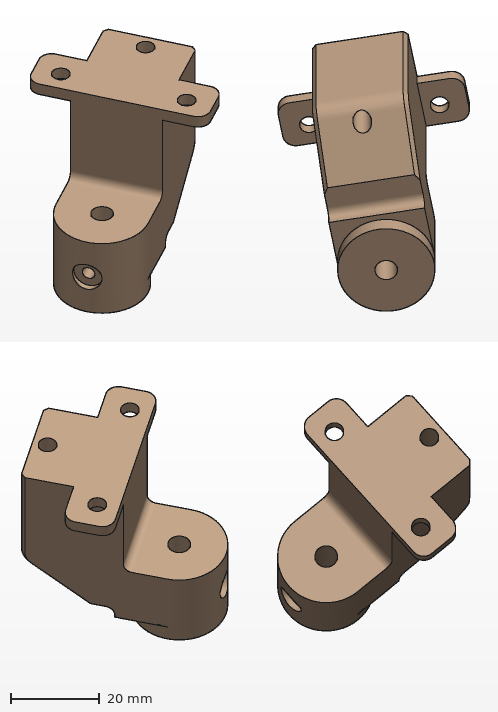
import cadquery as cq
import math


body_width = 22.0
total_height = 45.0
back_y = 34.22
column_depth = 24.0
column_front_y = back_y - column_depth
ledge_z = 20.0
inner_corner_radius = 2.0
back_corner_radius = 5.0
back_edge_chamfer = 1.0

arm_bottom_z = 4.0
arm_back_y = 12.3
step_z = 7.0
step_fillet_radius = 2.0
slope_bottom_y = 19.6
slope_angle = 35.5

barrel_radius = body_width / 2
bore_diameter = 5.1
screw_z = ledge_z / 2
screw_hole_diameter = 3.0
screw_seat_diameter = 7.0
screw_seat_depth = 1.5

flange_length = 42.8
flange_width = 11.6
flange_thickness = 3.0
flange_corner_radius = 3.0
mount_hole_diameter = 4.2
side_hole_x = 15.0
side_hole_y = 15.3
back_hole_y = 30.7


def make_body():
    """Side profile extruded across X, with rounded bends and chamfered back edges."""
    slope_top_z = step_z + (back_y - slope_bottom_y) * math.tan(math.radians(slope_angle))
    body = (
        cq.Workplane("YZ")
        .moveTo(0, arm_bottom_z)
        .lineTo(arm_back_y, arm_bottom_z)
        .lineTo(arm_back_y, step_z)
        .lineTo(slope_bottom_y, step_z)
        .lineTo(back_y, slope_top_z)
        .lineTo(back_y, total_height)
        .lineTo(column_front_y, total_height)
        .lineTo(column_front_y, ledge_z)
        .lineTo(0, ledge_z)
        .close()
        .extrude(body_width / 2, both=True)
    )
    bends = [
        (arm_back_y, step_z, step_fillet_radius),
        (back_y, slope_top_z, back_corner_radius),
        (column_front_y, ledge_z, inner_corner_radius),
    ]
    for y, z, radius in bends:
        bend_edge = cq.selectors.NearestToPointSelector((0, y, z))
        body = body.edges("|X").edges(bend_edge).fillet(radius)
    for side in (-1, 1):
        back_edge = cq.selectors.NearestToPointSelector(
            (side * body_width / 2, back_y, (total_height + ledge_z) / 2)
        )
        back_edges = body.faces(">Y").edges("|Z").edges(back_edge)
        body = back_edges.chamfer(back_edge_chamfer)
    return body


def make_barrel():
    return cq.Workplane("XY").circle(barrel_radius).extrude(ledge_z)


def make_flange():
    return (
        cq.Workplane("XY", origin=(0, column_front_y + flange_width / 2, total_height))
        .rect(flange_length, flange_width)
        .extrude(-flange_thickness)
        .edges("|Z")
        .fillet(flange_corner_radius)
    )


def make_bore():
    return cq.Workplane("XY").circle(bore_diameter / 2).extrude(ledge_z)


def make_screw_hole():
    """Counterbored hole running from the front of the barrel to the bore axis."""
    front = cq.Workplane("XZ", origin=(0, -barrel_radius, screw_z))
    hole = front.circle(screw_hole_diameter / 2).extrude(-barrel_radius)
    seat = front.circle(screw_seat_diameter / 2).extrude(-screw_seat_depth)
    return hole.union(seat)


def make_mount_holes():
    centres = [(-side_hole_x, side_hole_y), (side_hole_x, side_hole_y), (0, back_hole_y)]
    return (
        cq.Workplane("XY", origin=(0, 0, total_height))
        .pushPoints(centres)
        .circle(mount_hole_diameter / 2)
        .extrude(-total_height)
    )


result = (
    make_body()
    .union(make_barrel())
    .union(make_flange())
    .cut(make_bore())
    .cut(make_screw_hole())
    .cut(make_mount_holes())
)